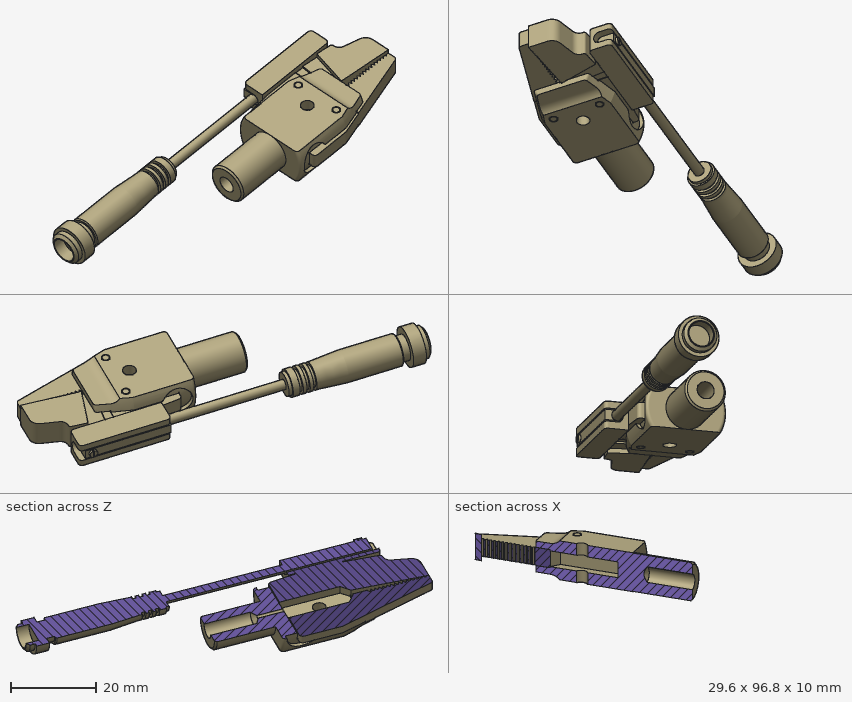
import cadquery as cq
import math


overall_length = 96.8

housing_height = 10.0
housing_radius = 9.9
housing_length = 24.8
taper_start = 15.8
nose_radius = 7.5
nose_fillet = 0.8
rear_fillet = 0.9
nose_half_height = 4.0
relief_start = 18.7
relief_end = 21.2
shank_diameter = 10.0
shank_length = 15.2
shank_chamfer = 0.5
bore_diameter = 4.2
bore_depth = 11.6
drill_tip_angle = 118.0
wire_hole_diameter = 0.8
cross_hole_diameter = 3.2
cross_hole_y = 13.0
dish_diameter = 8.0
dish_y = 5.0
dish_floor_radius = 8.9

pivot_x = 6.0
pivot_y = 16.5
pivot_hole_diameter = 2.0
pivot_pin_diameter = 1.6
tip_y = 40.3
head_height = 6.7
head_half = head_height / 2
middle_half = 2.2
valley_half = 1.7
tail_half = 1.9
tail_end_y = 4.1
tail_fillet = 1.0
tail_inner_x = 2.9
throat_y = 19.4
throat_front_y = 21.3
left_tip_x = 1.0
left_tip_corner_x = -5.9
left_throat_x = -0.8
shoulder_y = 32.6
inner_shoulder_x = -7.9
outer_shoulder_x = -10.1
contact_front_y = 22.7
contact_rear_y = 11.6
left_tail_x = -10.5
valley_front = (23.6, 22.6)
middle_front = (28.2, 25.3)
right_tip_corner_x = 3.5
tip_fillet = 2.5
inner_shoulder_fillet = 1.9
outer_shoulder_fillet = 0.6
right_tip_fillet = 0.9
right_side_x = 10.55
right_side_top_y = 14.8
slot_end_y = 4.0
slot_step_y = 21.2
tooth_tip_x = 0.5
tooth_root_x = 1.2
first_root_y = 39.3
last_root_y = 25.3
tooth_count = 15
tooth_pitch = (first_root_y - last_root_y) / (tooth_count - 1)

cable_x = -14.0
holder_width = 5.8
holder_left = cable_x - holder_width / 2
holder_right = cable_x + holder_width / 2
holder_rear = 9.6
holder_front = 32.9
holder_fillet = 1.0
channel_diameter = 3.2

cable_diameter = 2.5
bar_front = 31.5
button_diameter = 2.0
button_height = 0.6
button_y = 29.5
button_slot = 0.24
plug_start = -20.4
plug_end = tip_y - overall_length
collar_diameter = 6.0
grip_diameter = 7.0
groove_diameter = 5.5
groove_width = 0.82
groove_spacing = 1.7
first_groove_y = -23.0
groove_count = 3
grip_start = -21.3
cone_start = -28.3
cone_end = -35.2
sleeve_diameter = 8.0
sleeve_end = -49.4
sleeve_chamfer = 0.3
neck_diameter = 6.5
nut_diameter = 10.0
nut_start = -51.3
nut_end = -54.6
spigot_diameter = 8.1
spigot_chamfer_length = 0.7
spigot_end_diameter = 6.5
socket_diameter = 6.0
socket_depth = 3.1

far = 58.1


def box_between(x0, x1, y0, y1, half_height):
    """Box centred on Z = 0."""
    return cq.Workplane("XY").box(x1 - x0, y1 - y0, 2 * half_height).translate(
        ((x0 + x1) / 2, (y0 + y1) / 2, 0)
    )


def cylinder_y(diameter, y0, y1, x=0.0):
    """Cylinder along Y from y0 up to y1."""
    axis_plane = cq.Plane(origin=(x, y0, 0), xDir=(1, 0, 0), normal=(0, 1, 0))
    return cq.Workplane(axis_plane).circle(diameter / 2).extrude(y1 - y0)


def cylinder_z(diameter, x, y, half_height):
    """Cylinder along Z, centred on Z = 0."""
    return cq.Workplane("XY").center(x, y).circle(diameter / 2).extrude(half_height, both=True)


def prism(points, half_height):
    """Closed polygon in X and Y, extruded equally up and down."""
    base = cq.Workplane("XY", origin=(0, 0, -half_height))
    return base.polyline(points).close().extrude(2 * half_height)


def round_corner(body, x, y, radius):
    """Fillet the upright edge that passes through (x, y)."""
    return body.edges(cq.selectors.NearestToPointSelector((x, y, 0))).fillet(radius)


def housing_block():
    """Turned body with a tapered nose, flattened top and bottom and thinned at the nose."""
    turned = (
        cq.Workplane("XY")
        .lineTo(housing_radius - rear_fillet, 0)
        .radiusArc((housing_radius, rear_fillet), -rear_fillet)
        .lineTo(housing_radius, taper_start)
        .lineTo(nose_radius, housing_length)
        .lineTo(0, housing_length)
        .close()
        .revolve(360, (0, 0), (0, 1))
    )
    turned = turned.faces(">Y").edges().fillet(nose_fillet)
    half = housing_height / 2
    run = relief_end - relief_start
    rise = half - nose_half_height
    relief_radius = (run**2 + rise**2) / (2 * rise)
    slab = (
        cq.Workplane("YZ")
        .moveTo(0, -half)
        .lineTo(relief_start, -half)
        .radiusArc((relief_end, -nose_half_height), relief_radius)
        .lineTo(housing_length, -nose_half_height)
        .lineTo(housing_length, nose_half_height)
        .lineTo(relief_end, nose_half_height)
        .radiusArc((relief_start, half), relief_radius)
        .lineTo(0, half)
        .close()
        .extrude(far, both=True)
    )
    return turned.intersect(slab)


def dish_cutter():
    """Round finger recesses on both sides, with floors concentric with the housing."""
    reach = cq.Workplane("YZ").center(dish_y, 0).circle(dish_diameter / 2).extrude(far, both=True)
    return reach.cut(cylinder_y(2 * dish_floor_radius, -far, far))


def shank_bore():
    """Drilled hole with a conical bottom, leading through a wire hole into the jaw slot."""
    bore_radius = bore_diameter / 2
    wire_radius = wire_hole_diameter / 2
    bottom = bore_depth - shank_length
    tip_length = (bore_radius - wire_radius) / math.tan(math.radians(drill_tip_angle / 2))
    return (
        cq.Workplane("XY")
        .moveTo(0, -shank_length)
        .lineTo(bore_radius, -shank_length)
        .lineTo(bore_radius, bottom)
        .lineTo(wire_radius, bottom + tip_length)
        .lineTo(wire_radius, slot_end_y)
        .lineTo(0, slot_end_y)
        .close()
        .revolve(360, (0, 0), (0, 1))
    )


def make_housing():
    shank = cylinder_y(shank_diameter, -shank_length, rear_fillet).faces("<Y").chamfer(shank_chamfer)
    body = housing_block().cut(dish_cutter()).union(shank).cut(shank_bore())
    body = body.cut(box_between(-far, far, slot_end_y, far, tail_half))
    body = body.cut(box_between(-far, far, slot_step_y, far, middle_half))
    body = body.cut(cylinder_z(cross_hole_diameter, 0, cross_hole_y, far))
    for x in (-pivot_x, pivot_x):
        body = body.cut(cylinder_z(pivot_hole_diameter, x, pivot_y, far))
    return body


def pivot_pin(x):
    return cylinder_z(pivot_pin_diameter, x, pivot_y, housing_height / 2)


def layered(outline, layers):
    """Keep each Y band of the outline at its own half height.

    A layer is (half height, left Y, right Y): its front border runs straight from the left Y
    at the holder side to the right Y at X = 0. Layers go from rear to front.
    """
    body = None
    rear = (-far, -far)
    for half_height, left_y, right_y in layers:
        slope = (right_y - left_y) / -holder_right
        front = (right_y - slope * far, right_y + slope * far)
        band = prism([(-far, rear[0]), (far, rear[1]), (far, front[1]), (-far, front[0])], half_height)
        piece = outline.intersect(band)
        body = piece if body is None else body.union(piece)
        rear = front
    return body


def make_holder():
    """Block beside the left jaw with an open, round-bottomed channel for the cable."""
    block = box_between(holder_left, holder_right, holder_rear, holder_front, head_half)
    block = block.edges("|Z and >Y").fillet(holder_fillet)
    block = block.edges("|Z and <X and <Y").fillet(holder_fillet)
    channel = cylinder_y(channel_diameter, holder_rear, holder_front, cable_x)
    mouth = box_between(holder_left, cable_x, holder_rear, holder_front, channel_diameter / 2)
    return block.cut(channel).cut(mouth)


def make_left_jaw():
    tip_corner = (left_tip_corner_x, tip_y)
    inner_shoulder = (inner_shoulder_x, shoulder_y)
    outer_shoulder = (outer_shoulder_x, shoulder_y)
    tail_corner = (left_tail_x, tail_end_y)
    outline = prism(
        [
            (left_tip_x, tip_y),
            tip_corner,
            inner_shoulder,
            outer_shoulder,
            (holder_right, contact_front_y),
            (holder_right, contact_rear_y),
            tail_corner,
            (-tail_inner_x, tail_end_y),
            (-tail_inner_x, throat_y),
            (left_throat_x, throat_front_y),
        ],
        head_half,
    )
    outline = round_corner(outline, *tip_corner, tip_fillet)
    outline = round_corner(outline, *inner_shoulder, inner_shoulder_fillet)
    outline = round_corner(outline, *outer_shoulder, outer_shoulder_fillet)
    outline = round_corner(outline, *tail_corner, tail_fillet)
    layers = [
        (tail_half, slot_step_y, slot_step_y),
        (valley_half, *valley_front),
        (middle_half, *middle_front),
        (head_half, far, far),
    ]
    return layered(outline, layers).union(make_holder()).union(pivot_pin(-pivot_x))


def make_right_jaw():
    """Toothed jaw, thinner than the head of the left jaw."""
    tip_corner = (right_tip_corner_x, tip_y)
    tail_corner = (right_side_x, tail_end_y)
    outline = prism(
        [
            (tooth_tip_x, tip_y),
            tip_corner,
            (right_side_x, right_side_top_y),
            tail_corner,
            (tail_inner_x, tail_end_y),
            (tail_inner_x, throat_y),
            (tooth_tip_x, throat_front_y),
        ],
        middle_half,
    )
    outline = round_corner(outline, *tip_corner, right_tip_fillet)
    outline = round_corner(outline, *tail_corner, tail_fillet)
    layers = [(tail_half, slot_step_y, slot_step_y), (middle_half, far, far)]
    jaw = layered(outline, layers).union(pivot_pin(pivot_x))
    for i in range(tooth_count):
        root_y = first_root_y - i * tooth_pitch
        notch = [
            (tooth_tip_x, root_y - tooth_pitch / 2),
            (tooth_root_x, root_y),
            (tooth_tip_x, root_y + tooth_pitch / 2),
        ]
        jaw = jaw.cut(prism(notch, far))
    return jaw


def make_plug():
    """Turned plug on the cable end."""
    sleeve_radius = sleeve_diameter / 2
    stations = [
        (0, plug_start),
        (collar_diameter / 2, plug_start),
        (collar_diameter / 2, grip_start),
        (grip_diameter / 2, grip_start),
        (grip_diameter / 2, cone_start),
        (sleeve_radius, cone_end),
        (sleeve_radius, sleeve_end + sleeve_chamfer),
        (sleeve_radius - sleeve_chamfer, sleeve_end),
        (neck_diameter / 2, sleeve_end),
        (neck_diameter / 2, nut_start),
        (nut_diameter / 2, nut_start),
        (nut_diameter / 2, nut_end),
        (spigot_diameter / 2, nut_end),
        (spigot_diameter / 2, plug_end + spigot_chamfer_length),
        (spigot_end_diameter / 2, plug_end),
        (socket_diameter / 2, plug_end),
        (socket_diameter / 2, plug_end + socket_depth),
        (0, plug_end + socket_depth),
    ]
    plug = cq.Workplane("XY").polyline(stations).close().revolve(360, (0, 0), (0, 1))
    for i in range(groove_count):
        top = first_groove_y - i * groove_spacing
        ring = cylinder_y(nut_diameter, top - groove_width, top)
        plug = plug.cut(ring.cut(cylinder_y(groove_diameter, top - groove_width, top)))
    return plug.translate((cable_x, 0, 0))


def make_button():
    """Slotted round head standing out of the sensor bar."""
    head = (
        cq.Workplane("YZ", origin=(holder_left - button_height, 0, 0))
        .center(button_y, 0)
        .circle(button_diameter / 2)
        .extrude(button_height)
    )
    half_slot = button_slot / 2
    return head.cut(box_between(-far, holder_left, button_y - half_slot, button_y + half_slot, far))


def make_cable():
    """Cable, sensor bar flush with the holder, slotted button and plug."""
    bar = box_between(holder_left, cable_x, holder_rear, bar_front, cable_diameter / 2)
    core = cylinder_y(cable_diameter, plug_start, bar_front, cable_x)
    return core.union(bar).union(make_plug()).union(make_button())


housing = make_housing()
left_jaw = make_left_jaw()
right_jaw = make_right_jaw().cut(left_jaw)
cable = make_cable()

result = cq.Compound.makeCompound([housing.val(), left_jaw.val(), right_jaw.val(), cable.val()])